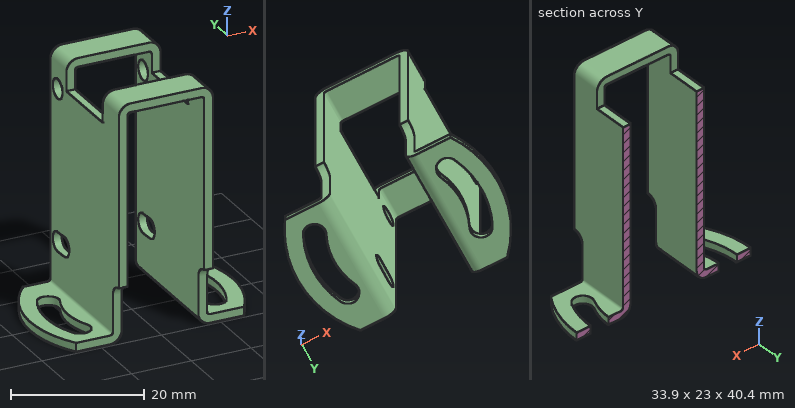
import cadquery as cq
import math

height = 40.4
depth = 23.0
channel_width = 15.8
thickness = 1.5
inner_bend = 0.5
outer_bend = inner_bend + thickness
foot_radius = 16.95

window_length = 12.2
window_depth = 5.1

relief_depth = 1.98
relief_height = 10.05

foot_slot_radius = 12.5
foot_slot_width = 3.47
foot_slot_half_angle = 25.0

pivot_diameter = 3.25
pivot_inset = 2.45
pivot_y = depth / 2 - pivot_inset
pivot_z = 34.45
tilt_radius = 25.4
tilt_angle = 5.1

overcut = 0.4


def polar(radius, angle):
    """Point at an angle in degrees from the first sketch axis."""
    radians = math.radians(angle)
    return (radius * math.cos(radians), radius * math.sin(radians))


def arc_slot(workplane, radius, width, start, end):
    """Closed slot of constant width along an arc about the workplane origin."""
    inner = radius - width / 2
    outer = radius + width / 2
    middle = (start + end) / 2
    cap_radius = math.hypot(radius, width / 2)
    cap_angle = math.degrees(math.atan2(width / 2, radius))
    return (
        workplane.moveTo(*polar(inner, start))
        .threePointArc(polar(inner, middle), polar(inner, end))
        .threePointArc(polar(cap_radius, end + cap_angle), polar(outer, end))
        .threePointArc(polar(outer, middle), polar(outer, start))
        .threePointArc(polar(cap_radius, start - cap_angle), polar(inner, start))
        .close()
    )


def bent_sheet():
    """Hat profile extruded along Y, with every bend rounded."""
    outside = channel_width / 2
    inside = outside - thickness
    half_profile = [
        (0, height),
        (outside, height),
        (outside, thickness),
        (foot_radius, thickness),
        (foot_radius, 0),
        (inside, 0),
        (inside, height - thickness),
        (0, height - thickness),
    ]
    half = cq.Workplane("XZ").polyline(half_profile).close().extrude(depth / 2, both=True)
    bends = [
        (outside, height, outer_bend),
        (outside, thickness, inner_bend),
        (inside, 0, outer_bend),
        (inside, height - thickness, inner_bend),
    ]
    for x, z, radius in bends:
        half = half.edges(cq.selectors.NearestToPointSelector((x, 0, z))).fillet(radius)
    return half.union(half.mirror("YZ"))


def foot_outline():
    """Upright cylinder that trims the feet to their round tips."""
    return cq.Workplane("XY").circle(foot_radius).extrude(height)


def top_window():
    return (
        cq.Workplane("XY", origin=(0, 0, height - window_depth))
        .rect(channel_width + 2 * overcut, window_length)
        .extrude(window_depth + overcut)
    )


def edge_relief():
    """Cutter below the -Y edge, with its inner top corner rounded."""
    edge = -depth / 2
    return (
        cq.Workplane("YZ")
        .moveTo(edge - overcut, -overcut)
        .lineTo(edge + relief_depth, -overcut)
        .lineTo(edge + relief_depth, relief_height - relief_depth)
        .radiusArc((edge, relief_height), -relief_depth)
        .lineTo(edge - overcut, relief_height)
        .close()
        .extrude(foot_radius + overcut, both=True)
    )


def foot_slots():
    angle = foot_slot_half_angle
    right = arc_slot(cq.Workplane("XY"), foot_slot_radius, foot_slot_width, -angle, angle)
    right = right.extrude(thickness + overcut)
    return right.union(right.mirror("YZ"))


def wall_openings():
    """Pivot hole and tilt slot through both side walls."""
    pivot_plane = cq.Workplane("YZ", origin=(0, pivot_y, pivot_z))
    hole = pivot_plane.circle(pivot_diameter / 2).extrude(channel_width, both=True)
    straight_down = -90
    slot = arc_slot(
        pivot_plane, tilt_radius, pivot_diameter, straight_down - tilt_angle, straight_down
    ).extrude(channel_width, both=True)
    return hole.union(slot)


result = (
    bent_sheet()
    .intersect(foot_outline())
    .cut(top_window())
    .cut(edge_relief())
    .cut(foot_slots())
    .cut(wall_openings())
)